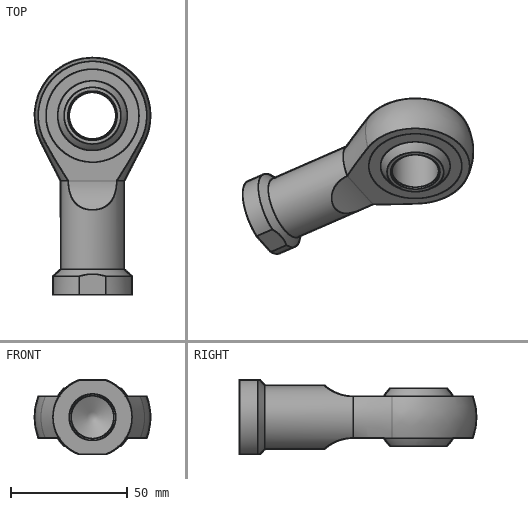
import cadquery as cq
import math


ball_diameter = 34.925
ball_width = 25.0
ball_bore_radius = 10.0
ball_bore_chamfer = 0.6

race_radius = 20.0
head_thickness = 18.0

head_radius = 25.0
neck_radius = 13.75
neck_y = -28.0
flare_y = -66.0
flange_y = -69.0
end_y = -77.0
flange_radius = 17.0
across_flats = 32.0
runout_radius = 18.75

thread_core_radius = 9.188
thread_outer_radius = 10.0
thread_depth = 40.0
drill_point_angle = 120.0

half_thickness = head_thickness / 2
ball_radius = ball_diameter / 2


def make_ball():
    """Spherical ball with flat ends and a chamfered through bore."""
    ball = cq.Workplane("XY").sphere(ball_radius)
    ball = ball.intersect(cq.Workplane("XY").box(ball_diameter, ball_diameter, ball_width))
    ball = ball.faces(">Z").workplane().hole(2 * ball_bore_radius)
    bore_edges = cq.selectors.RadiusNthSelector(0)
    return ball.faces("|Z").edges(bore_edges).chamfer(ball_bore_chamfer)


def make_race_blank():
    """Plain disc that fills the race seat of the housing."""
    return cq.Workplane("XY").circle(race_radius).extrude(half_thickness, both=True)


def make_race():
    """Ring flush with the head faces, with a spherical seat for the ball."""
    return make_race_blank().cut(cq.Workplane("XY").sphere(ball_radius))


def make_body_of_revolution():
    """Spherical head, tangent cone, cylindrical shank and flared flange."""
    neck_distance = math.hypot(neck_radius, neck_y)
    tangent_angle = math.atan2(neck_radius, -neck_y) + math.acos(head_radius / neck_distance)
    tangent_point = (head_radius * math.sin(tangent_angle), -head_radius * math.cos(tangent_angle))
    arc_middle_angle = (tangent_angle + math.pi) / 2
    arc_middle = (head_radius * math.sin(arc_middle_angle), -head_radius * math.cos(arc_middle_angle))
    return (
        cq.Workplane("XY")
        .moveTo(0, head_radius)
        .threePointArc(arc_middle, tangent_point)
        .lineTo(neck_radius, neck_y)
        .lineTo(neck_radius, flare_y)
        .lineTo(flange_radius, flange_y)
        .lineTo(flange_radius, end_y)
        .lineTo(0, end_y)
        .close()
        .revolve(360, (0, 0, 0), (0, 1, 0))
    )


def make_face_cutter():
    """Material above the flat head face, with a concave run-out into the shank."""
    cutter_top = half_thickness + runout_radius
    runout_middle = (
        neck_y - runout_radius * math.sin(math.pi / 4),
        cutter_top - runout_radius * math.cos(math.pi / 4),
    )
    return (
        cq.Workplane("YZ")
        .moveTo(head_radius, half_thickness)
        .lineTo(neck_y, half_thickness)
        .threePointArc(runout_middle, (neck_y - runout_radius, cutter_top))
        .lineTo(head_radius, cutter_top)
        .close()
        .extrude(head_radius, both=True)
    )


def make_threaded_hole():
    """Blind hole with a conical drill point and a 45 degree mouth chamfer."""
    chamfer = thread_outer_radius - thread_core_radius
    bottom_y = end_y + thread_depth
    point_length = thread_core_radius / math.tan(math.radians(drill_point_angle / 2))
    return (
        cq.Workplane("XY")
        .moveTo(0, end_y)
        .lineTo(thread_outer_radius, end_y)
        .lineTo(thread_core_radius, end_y + chamfer)
        .lineTo(thread_core_radius, bottom_y)
        .lineTo(0, bottom_y + point_length)
        .close()
        .revolve(360, (0, 0, 0), (0, 1, 0))
    )


def make_housing():
    """Head and shank with flat faces, wrench flats, race seat and threaded hole."""
    body = make_body_of_revolution()
    flats_slab = cq.Workplane("XY").box(2 * head_radius, -2 * end_y, across_flats)
    body = body.intersect(flats_slab)
    face_cutter = make_face_cutter()
    body = body.cut(face_cutter).cut(face_cutter.mirror("XY"))
    return body.cut(make_race_blank()).cut(make_threaded_hole())


housing = make_housing()
race = make_race()
ball = make_ball()

result = cq.Compound.makeCompound([housing.val(), race.val(), ball.val()])